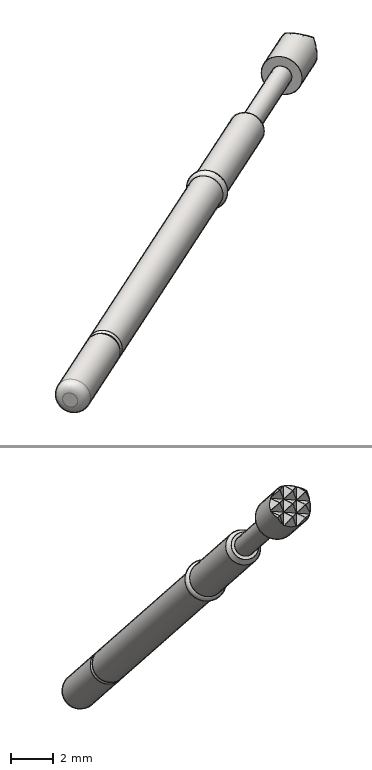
import cadquery as cq
import math

total_length = 37.3

head_diameter = 2.0
head_length = 2.95
shaft_diameter = 1.0
barrel_diameter = 1.7
barrel_length = 29.02

tail_fillet = 0.5
nose_length = 0.3
nose_diameter = 1.35

ring_start = 22.0
ring_end = 22.5
ring_diameter = head_diameter

groove_center = 5.5
groove_width = 0.35
groove_depth = 0.067

tips_per_side = 3
tip_height = 0.5
tip_pitch = 0.65

head_radius = head_diameter / 2
shaft_radius = shaft_diameter / 2
barrel_radius = barrel_diameter / 2
head_start = total_length - head_length


def turned_body():
    """Barrel, plunger shaft and head as one half profile turned about Y."""
    fillet_inset = tail_fillet * (1 - math.sqrt(0.5))
    groove_start = groove_center - groove_width / 2
    groove_end = groove_center + groove_width / 2
    ring_center = (ring_start + ring_end) / 2
    return (
        cq.Workplane("ZY")
        .lineTo(barrel_radius - tail_fillet, 0)
        .threePointArc((barrel_radius - fillet_inset, fillet_inset), (barrel_radius, tail_fillet))
        .lineTo(barrel_radius, groove_start)
        .lineTo(barrel_radius - groove_depth, groove_center)
        .lineTo(barrel_radius, groove_end)
        .lineTo(barrel_radius, ring_start)
        .threePointArc((ring_diameter / 2, ring_center), (barrel_radius, ring_end))
        .lineTo(barrel_radius, barrel_length - nose_length)
        .lineTo(nose_diameter / 2, barrel_length)
        .lineTo(shaft_radius, barrel_length)
        .lineTo(shaft_radius, head_start)
        .lineTo(head_radius, head_start)
        .lineTo(head_radius, total_length)
        .lineTo(0, total_length)
        .close()
        .revolve(360, (0, 0, 0), (0, 1, 0))
    )


def tip_grooves():
    """Cutter along Z with a sawtooth underside that leaves one ridge per row of tips."""
    valley_y = total_length - tip_height
    cutter_top = total_length + tip_height
    outline = cq.Workplane("XY").moveTo(-head_radius, cutter_top).lineTo(-head_radius, valley_y)
    for row in range(tips_per_side):
        ridge_x = (row - (tips_per_side - 1) / 2) * tip_pitch
        is_last_row = row == tips_per_side - 1
        valley_x = head_radius if is_last_row else ridge_x + tip_pitch / 2
        outline = outline.lineTo(ridge_x, total_length).lineTo(valley_x, valley_y)
    outline = outline.lineTo(head_radius, cutter_top).close()
    return outline.extrude(head_radius, both=True)


grooves_along_z = tip_grooves()
grooves_along_x = grooves_along_z.rotate((0, 0, 0), (0, 1, 0), 90)
result = turned_body().cut(grooves_along_z).cut(grooves_along_x)